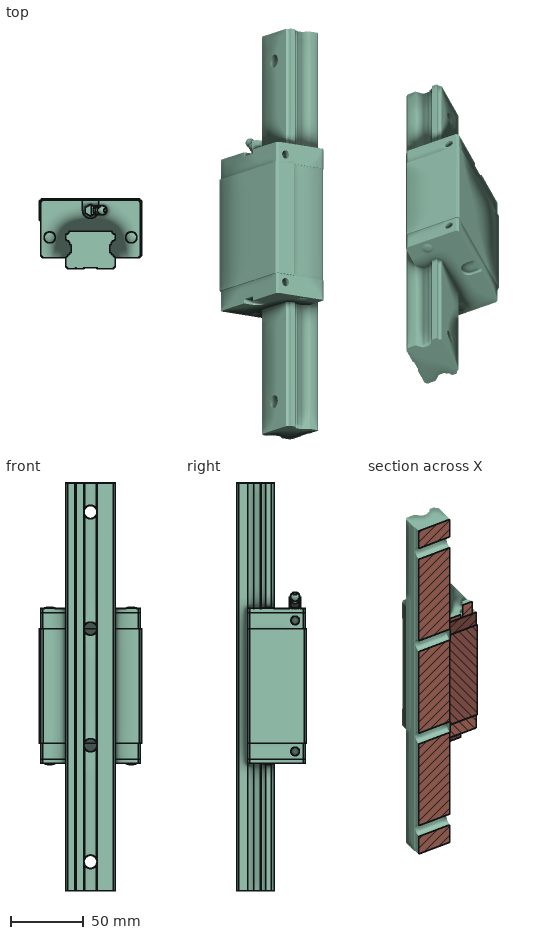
import cadquery as cq
import math

rail_length = 280.0
rail_half_width = 17.0
rail_height = 25.9
rail_foot_chamfer = 1.5
rail_shoulder_height = 7.6
rail_waist_half = 13.1
rail_waist_low = 11.8
rail_waist_high = 16.2
rail_head_low = 20.1
rail_head_high = 23.8
rail_crown_half = 14.5
upper_groove_middle = (15.2, 24.5)
lower_groove_start = (15.9, 19.4)
lower_groove_middle = (14.6, 18.4)
lower_groove_end = (14.3, 16.8)
relief_mouth_width = 9.4
relief_floor_width = 8.2
relief_depth = 0.7
mark_groove_diameter = 1.0
mark_groove_x = -10.2
bolt_hole_diameter = 9.0
bolt_hole_pitch = 80.0
bolt_hole_count = 4

block_half_width = 35.0
block_top = 48.0
block_bottom = 7.6
block_length = 78.5
block_center_z = 0.7
block_chamfer = 1.6
side_step_depth = 1.0
side_step_high = 33.6
side_step_low = 32.8

end_half_width = 34.3
end_top = 47.2
end_chamfer = 1.5
cap_thickness = 11.0
seal_thickness = 3.0
port_y = 40.2
side_port_diameter = 5.8
side_port_depth = 6.0
side_port_from_seal = 5.3
slot_width = 11.0

screw_x = 28.0
screw_y = 21.6
screw_diameter = 7.6
screw_height = 0.7
screw_flat_diameter = 3.0

nipple_corner_diameter = 8.0
nipple_foot_height = 7.6
nipple_slope_start_x = 0.4
nipple_lean = 45.0
nipple_base_radius = 3.0
nipple_neck_radius = 2.2
nipple_ball_radius = 3.2
nipple_tip_radius = 1.2
nipple_base_end = 7.5
nipple_ball_center = 11.2

block_end = block_length / 2
cap_end = block_end + cap_thickness
seal_end = cap_end + seal_thickness


def prism(section, z_low, z_high):
    """Extrude a section drawn in XY between two heights."""
    return section.extrude(z_high - z_low).translate((0, 0, z_low))


def rail_section():
    """Closed rail outline, drawn up the +X side and down its mirror image."""
    def mirrored(point):
        return (-point[0], point[1])

    foot_edge = (rail_half_width - rail_foot_chamfer, 0)
    foot_side = (rail_half_width, rail_foot_chamfer)
    shoulder = (rail_half_width, rail_shoulder_height)
    waist_low = (rail_waist_half, rail_waist_low)
    waist_high = (rail_waist_half, rail_waist_high)
    head_low = (rail_half_width, rail_head_low)
    head_high = (rail_half_width, rail_head_high)
    crown = (rail_crown_half, rail_height)
    section = cq.Workplane("XY").moveTo(*foot_edge)
    for point in (foot_side, shoulder, waist_low, waist_high, lower_groove_end):
        section = section.lineTo(*point)
    section = section.threePointArc(lower_groove_middle, lower_groove_start)
    section = section.lineTo(*head_low).lineTo(*head_high)
    section = section.threePointArc(upper_groove_middle, crown)
    section = section.lineTo(*mirrored(crown))
    section = section.threePointArc(mirrored(upper_groove_middle), mirrored(head_high))
    section = section.lineTo(*mirrored(head_low)).lineTo(*mirrored(lower_groove_start))
    section = section.threePointArc(mirrored(lower_groove_middle), mirrored(lower_groove_end))
    for point in (waist_high, waist_low, shoulder, foot_side, foot_edge):
        section = section.lineTo(*mirrored(point))
    return section.close()


def make_rail():
    rail = prism(rail_section(), -rail_length / 2, rail_length / 2)
    relief = cq.Workplane("XY").polyline([
        (-relief_mouth_width / 2, 0),
        (relief_mouth_width / 2, 0),
        (relief_floor_width / 2, relief_depth),
        (-relief_floor_width / 2, relief_depth),
    ]).close()
    rail = rail.cut(prism(relief, -rail_length / 2, rail_length / 2))
    mark_groove = cq.Workplane("XY").center(mark_groove_x, 0).circle(mark_groove_diameter / 2)
    rail = rail.cut(prism(mark_groove, -rail_length / 2, rail_length / 2))
    bolt_holes = (
        cq.Workplane("XZ")
        .rarray(1, bolt_hole_pitch, 1, bolt_hole_count)
        .circle(bolt_hole_diameter / 2)
        .extrude(-rail_height)
    )
    return rail.cut(bolt_holes)


def chamfered_bar(half_width, top, chamfer, z_low, z_high):
    """Bar along Z with chamfered long edges, straddling the rail."""
    middle_y = (top + block_bottom) / 2
    outline = cq.Workplane("XY").center(0, middle_y).rect(2 * half_width, top - block_bottom)
    bar = prism(outline, z_low, z_high).edges("|Z").chamfer(chamfer)
    return bar.cut(prism(rail_section(), z_low, z_high))


def make_block():
    block = chamfered_bar(block_half_width, block_top, block_chamfer, -block_end, block_end)
    setback_x = -block_half_width + side_step_depth
    setback = cq.Workplane("XY").polyline([
        (-block_half_width, side_step_high),
        (setback_x, side_step_low),
        (setback_x, block_bottom + block_chamfer),
        (setback_x + block_chamfer, block_bottom),
        (-block_half_width, block_bottom),
    ]).close()
    return block.cut(prism(setback, -block_end, block_end))


def make_end_cap():
    """End cap at the +Z end, with a grease port in each side."""
    cap = chamfered_bar(end_half_width, end_top, end_chamfer, block_end, cap_end)
    for side in (-1, 1):
        port = (
            cq.Workplane("YZ")
            .center(port_y, cap_end - side_port_from_seal)
            .circle(side_port_diameter / 2)
            .extrude(-side * side_port_depth)
            .translate((side * end_half_width, 0, 0))
        )
        cap = cap.cut(port)
    return cap


def screw_head():
    """Domed screw head with a flat top, standing on the XY plane."""
    rim = screw_diameter / 2
    flat = screw_flat_diameter / 2
    sphere_z = (flat**2 + screw_height**2 - rim**2) / (2 * screw_height)
    sphere_radius = math.hypot(rim, sphere_z)
    middle = (rim + flat) / 2
    dome_middle = (middle, sphere_z + math.sqrt(sphere_radius**2 - middle**2))
    profile = (
        cq.Workplane("XZ")
        .lineTo(rim, 0)
        .threePointArc(dome_middle, (flat, screw_height))
        .lineTo(0, screw_height)
        .close()
    )
    return profile.revolve(360, (0, 0, 0), (0, 1, 0))


def make_end_seal():
    """End seal at the +Z end, with a slot around the grease port and two screw heads."""
    seal = chamfered_bar(end_half_width, end_top, end_chamfer, cap_end, seal_end)
    slot_radius = slot_width / 2
    slot = (
        cq.Workplane("XY")
        .moveTo(-slot_radius, end_top)
        .lineTo(-slot_radius, port_y)
        .threePointArc((0, port_y - slot_radius), (slot_radius, port_y))
        .lineTo(slot_radius, end_top)
        .close()
    )
    seal = seal.cut(prism(slot, cap_end, seal_end))
    for x in (-screw_x, screw_x):
        seal = seal.union(screw_head().translate((x, screw_y, seal_end)))
    return seal


def make_nipple():
    """Grease nipple on the +Z end cap; built with z = 0 at the outer face of the seal."""
    hexagon = cq.Workplane("XY").polygon(6, nipple_corner_diameter)
    foot = prism(hexagon, -seal_thickness, nipple_foot_height)
    foot = foot.rotate((0, 0, 0), (0, 0, 1), 90)
    slope_run = nipple_corner_diameter
    lean = math.radians(nipple_lean)
    slope_drop = slope_run * math.tan(lean)
    slope_cut = cq.Workplane("XZ").polyline([
        (nipple_slope_start_x, nipple_foot_height),
        (nipple_slope_start_x + slope_run, nipple_foot_height),
        (nipple_slope_start_x + slope_run, nipple_foot_height - slope_drop),
    ]).close().extrude(nipple_corner_diameter / 2, both=True)
    foot = foot.cut(slope_cut)
    slope_distance = nipple_slope_start_x * math.sin(lean) + nipple_foot_height * math.cos(lean)
    head_start = slope_distance - nipple_base_radius
    ball_rear = nipple_ball_center - math.sqrt(nipple_ball_radius**2 - nipple_neck_radius**2)
    ball_front = nipple_ball_center + math.sqrt(nipple_ball_radius**2 - nipple_tip_radius**2)
    head = (
        cq.Workplane("XZ")
        .moveTo(0, head_start)
        .lineTo(nipple_base_radius, head_start)
        .lineTo(nipple_base_radius, nipple_base_end)
        .lineTo(nipple_neck_radius, ball_rear)
        .threePointArc((nipple_ball_radius, nipple_ball_center), (nipple_tip_radius, ball_front))
        .lineTo(0, ball_front)
        .close()
        .revolve(360, (0, 0, 0), (0, 1, 0))
    )
    head = head.rotate((0, 0, 0), (0, 1, 0), nipple_lean)
    return foot.union(head).translate((0, port_y, seal_end))


rail = make_rail()
carriage = [make_block()]
for upper in (make_end_cap(), make_end_seal()):
    carriage.append(upper)
    carriage.append(upper.mirror("XY"))
carriage.append(make_nipple())
carriage = [body.translate((0, 0, block_center_z)) for body in carriage]

result = cq.Compound.makeCompound([rail.val()] + [body.val() for body in carriage])